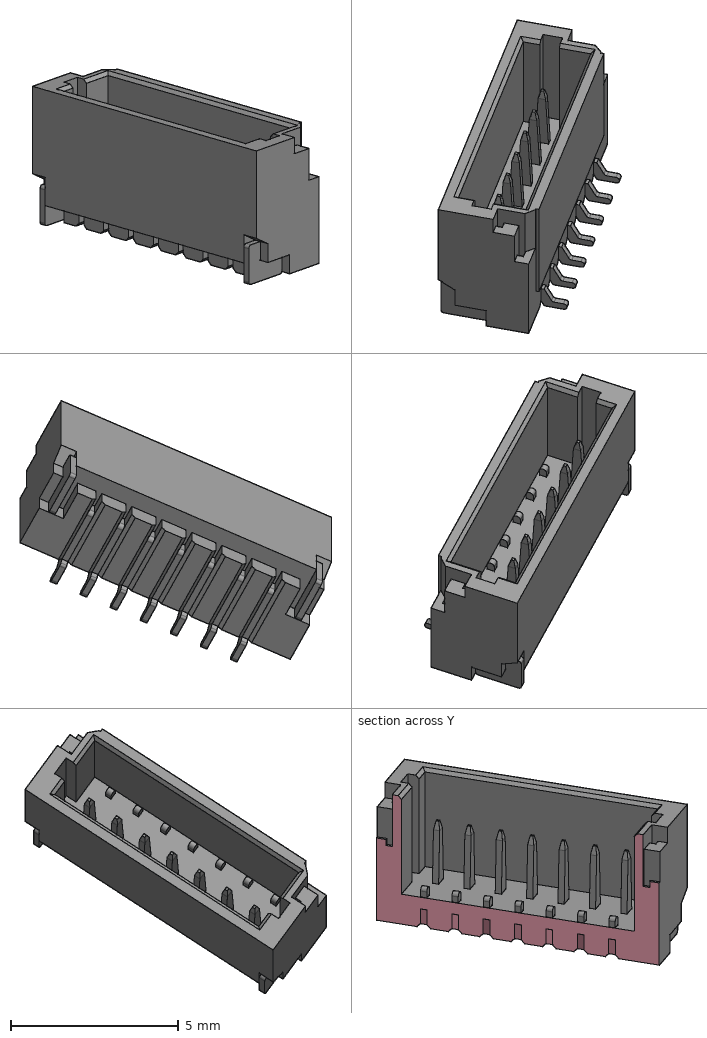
import cadquery as cq

LENGTH = 9.0
DEPTH = 2.8
TOP_Z = 4.3
BOTTOM_Z = 0.05
HALF_LENGTH = LENGTH / 2

PANEL_HALF_LENGTH = 3.7
PANEL_THICKNESS = 0.1
PANEL_BOTTOM_Z = 1.06

CAVITY_HALF_LENGTH = 3.7
CAVITY_FRONT_Y = 0.405
CAVITY_BACK_Y = 2.49
CAVITY_FLOOR_Z = PANEL_BOTTOM_Z
RIM_CHAMFER = 0.11
KEYWAY_HALF_LENGTH = 4.06
KEYWAY_FRONT_Y = 0.92
KEYWAY_BACK_Y = 1.52

SHEET = 0.2

CORNER_WIDTH = 0.5
CORNER_INNER_X = HALF_LENGTH - CORNER_WIDTH
CORNER_FRONT_Y = 1.7
CORNER_STEP_Y = 2.36
CORNER_UPPER_Z = 3.79
CORNER_LOWER_Z = 2.79
CORNER_CHAMFER = 0.25
PIT_SIZE = SHEET

TAB_FOOT_DEPTH = 1.485
TAB_FOOT_Z = 0.66
TAB_LEG_DEPTH = 0.51
TAB_TOP_Z = 1.25
TAB_CORNER_RADIUS = 0.1
TAB_INNER_X = CORNER_INNER_X
NOTCH_FRONT_Z = 1.55

UNDERCUT_Z = TAB_FOOT_Z
UNDERCUT_DEPTH = TAB_LEG_DEPTH
UNDERCUT_HALF_LENGTH = PANEL_HALF_LENGTH

PIN_COUNT = 7
PIN_PITCH = 1.0
PIN_BASE_Z = 0.17
PIN_BASE_TOP_Z = UNDERCUT_Z
PIN_HEEL_RADIUS = 0.135
POST_FRONT_Y = 0.99
POST_DEPTH = 0.41
POST_MID_Y = POST_FRONT_Y + POST_DEPTH / 2
POST_TAPER_Z = 2.79
POST_TOP_Z = 3.06
POST_NECK_DEPTH = 0.23
POST_TIP = 0.09
NUB_MID_Y = 2.3
NUB_RADIUS = 0.12
NUB_STAND = 0.2
FOOT_END_Y = 3.6
FOOT_THICKNESS = 0.22
FOOT_BEND_Y = 3.15
FOOT_BEND_RADIUS = 0.1
FOOT_HEEL_Y = DEPTH
FOOT_HEEL_RADIUS = 0.1
FOOT_SHOULDER_Y = DEPTH + PANEL_THICKNESS

SLOT_FLARE = 0.12


def box(x0, x1, y0, y1, z0, z1):
    """Axis-aligned box between two opposite corners."""
    return cq.Workplane("XY").box(x1 - x0, y1 - y0, z1 - z0, centered=False).translate((x0, y0, z0))


def yz_plate(outline, x0, thickness):
    """Plate with a YZ outline, starting at x0 and extruded along +X by the given thickness."""
    return outline(cq.Workplane("YZ", origin=(x0, 0, 0))).close().extrude(thickness)


def both_ends(body):
    """The body followed by its mirror image at the opposite end of the part."""
    return [body, body.mirror("YZ")]


def pin_outline(plane):
    foot_radius = FOOT_THICKNESS / 2
    nub_spring_z = CAVITY_FLOOR_Z + NUB_STAND
    return (
        plane.moveTo(POST_FRONT_Y, CAVITY_FLOOR_Z)
        .lineTo(POST_FRONT_Y, PIN_BASE_Z)
        .lineTo(FOOT_HEEL_Y, PIN_BASE_Z)
        .lineTo(FOOT_SHOULDER_Y, 0)
        .lineTo(FOOT_END_Y - foot_radius, 0)
        .threePointArc((FOOT_END_Y, foot_radius), (FOOT_END_Y - foot_radius, FOOT_THICKNESS))
        .lineTo(FOOT_BEND_Y, FOOT_THICKNESS)
        .lineTo(FOOT_SHOULDER_Y, PIN_BASE_TOP_Z)
        .lineTo(NUB_MID_Y + NUB_RADIUS, PIN_BASE_TOP_Z)
        .lineTo(NUB_MID_Y + NUB_RADIUS, nub_spring_z)
        .threePointArc((NUB_MID_Y, nub_spring_z + NUB_RADIUS), (NUB_MID_Y - NUB_RADIUS, nub_spring_z))
        .lineTo(NUB_MID_Y - NUB_RADIUS, PIN_BASE_TOP_Z)
        .lineTo(POST_FRONT_Y + POST_DEPTH, PIN_BASE_TOP_Z)
        .lineTo(POST_FRONT_Y + POST_DEPTH, CAVITY_FLOOR_Z)
    )


def fillet_edge_at(body, y, z, radius):
    """Round the edge running along X through (y, z)."""
    reach = 0.01
    selector = cq.selectors.BoxSelector(
        (-LENGTH, y - reach, z - reach), (LENGTH, y + reach, z + reach)
    )
    return body.edges(selector).fillet(radius)


def post_taper(z0, width0, depth0, z1, width1, depth1):
    """Four-sided taper between two rectangles centred on the post."""
    return (
        cq.Workplane("XY", origin=(0, POST_MID_Y, z0))
        .rect(width0, depth0)
        .workplane(offset=z1 - z0)
        .rect(width1, depth1)
        .loft(ruled=True)
    )


def make_pin():
    """Contact pin centred on X = 0."""
    pin = yz_plate(pin_outline, -SHEET / 2, SHEET)
    pin = fillet_edge_at(pin, POST_FRONT_Y, PIN_BASE_Z, PIN_HEEL_RADIUS)
    pin = fillet_edge_at(pin, FOOT_SHOULDER_Y, 0, FOOT_HEEL_RADIUS)
    pin = fillet_edge_at(pin, FOOT_BEND_Y, FOOT_THICKNESS, FOOT_BEND_RADIUS)
    shoulder = post_taper(
        CAVITY_FLOOR_Z, SHEET, POST_DEPTH, POST_TAPER_Z, SHEET, POST_NECK_DEPTH
    )
    tip = post_taper(
        POST_TAPER_Z, SHEET, POST_NECK_DEPTH, POST_TOP_Z, POST_TIP, POST_TIP
    )
    return pin.union(shoulder).union(tip)


def tab_outline(plane):
    return (
        plane.moveTo(0, 0)
        .lineTo(TAB_FOOT_DEPTH, 0)
        .lineTo(TAB_FOOT_DEPTH, TAB_FOOT_Z)
        .lineTo(TAB_LEG_DEPTH, TAB_FOOT_Z)
        .lineTo(TAB_LEG_DEPTH, TAB_TOP_Z)
        .lineTo(0, TAB_TOP_Z)
    )


def make_tab():
    """L-shaped solder tab at the +X end."""
    tab = yz_plate(tab_outline, TAB_INNER_X, SHEET)
    for y, z in [(0, 0), (TAB_FOOT_DEPTH, 0), (0, TAB_TOP_Z)]:
        tab = fillet_edge_at(tab, y, z, TAB_CORNER_RADIUS)
    return tab


def cavity():
    """Mating cavity with a chamfered rim and a keyway in each end wall."""
    half, front, back = CAVITY_HALF_LENGTH, CAVITY_FRONT_Y, CAVITY_BACK_Y
    well = box(-half, half, front, back, CAVITY_FLOOR_Z, TOP_Z)
    rim = (
        cq.Workplane("XY", origin=(0, (front + back) / 2, TOP_Z - RIM_CHAMFER))
        .rect(2 * half, back - front)
        .workplane(offset=RIM_CHAMFER)
        .rect(2 * (half + RIM_CHAMFER), back - front + 2 * RIM_CHAMFER)
        .loft(ruled=True)
    )
    keyway = box(
        -KEYWAY_HALF_LENGTH, KEYWAY_HALF_LENGTH, KEYWAY_FRONT_Y, KEYWAY_BACK_Y, CAVITY_FLOOR_Z, TOP_Z
    )
    return well.union(rim).union(keyway)


def corner_recess():
    """Two-step recess at the +X back upper corner, with a square pit in each step."""
    inner = CORNER_INNER_X
    upper = box(inner, HALF_LENGTH, CORNER_FRONT_Y, CORNER_STEP_Y, CORNER_UPPER_Z, TOP_Z)
    lower = (
        cq.Workplane("XY", origin=(0, 0, CORNER_LOWER_Z))
        .moveTo(HALF_LENGTH, CORNER_STEP_Y)
        .lineTo(inner, CORNER_STEP_Y)
        .lineTo(inner, DEPTH - CORNER_CHAMFER)
        .lineTo(inner - CORNER_CHAMFER, DEPTH)
        .lineTo(HALF_LENGTH, DEPTH)
        .close()
        .extrude(TOP_Z - CORNER_LOWER_Z)
    )
    recess = upper.union(lower)
    for y, floor_z in [(CORNER_FRONT_Y, CORNER_UPPER_Z), (CORNER_STEP_Y, CORNER_LOWER_Z)]:
        pit = box(inner, inner + PIT_SIZE, y, y + PIT_SIZE, floor_z - PIT_SIZE, floor_z)
        recess = recess.union(pit)
    return recess


def tab_notch_outline(plane):
    return (
        plane.moveTo(0, BOTTOM_Z)
        .lineTo(TAB_LEG_DEPTH, BOTTOM_Z)
        .lineTo(TAB_LEG_DEPTH, TAB_TOP_Z)
        .lineTo(0, NOTCH_FRONT_Z)
    )


def tab_notch():
    """Notch for the solder tab at the +X end, with a sloping roof and a deep lower part."""
    leg_space = yz_plate(tab_notch_outline, TAB_INNER_X, CORNER_WIDTH)
    foot_space = box(UNDERCUT_HALF_LENGTH, HALF_LENGTH, 0, TAB_FOOT_DEPTH, BOTTOM_Z, TAB_FOOT_Z)
    return leg_space.union(foot_space)


def pin_slot(x):
    """Slot for one pin base, open below through a flared mouth and running the full depth."""
    half = SHEET / 2
    mouth_half = half + SLOT_FLARE
    return (
        cq.Workplane("XZ", origin=(x, 0, 0))
        .moveTo(-mouth_half, BOTTOM_Z)
        .lineTo(mouth_half, BOTTOM_Z)
        .lineTo(half, BOTTOM_Z + SLOT_FLARE)
        .lineTo(half, UNDERCUT_Z)
        .lineTo(-half, UNDERCUT_Z)
        .lineTo(-half, BOTTOM_Z + SLOT_FLARE)
        .close()
        .extrude(-DEPTH)
    )


def make_housing(pin_bodies, pin_places):
    body = box(-HALF_LENGTH, HALF_LENGTH, 0, DEPTH, BOTTOM_Z, TOP_Z)
    panel = box(
        -PANEL_HALF_LENGTH, PANEL_HALF_LENGTH, DEPTH, DEPTH + PANEL_THICKNESS, PANEL_BOTTOM_Z, TOP_Z
    )
    undercut = box(
        -UNDERCUT_HALF_LENGTH, UNDERCUT_HALF_LENGTH, 0, UNDERCUT_DEPTH, BOTTOM_Z, UNDERCUT_Z
    )
    body = body.union(panel).cut(cavity()).cut(undercut)
    for cutter in both_ends(corner_recess()) + both_ends(tab_notch()):
        body = body.cut(cutter)
    for x in pin_places:
        body = body.cut(pin_slot(x))
    for pin in pin_bodies:
        body = body.cut(pin)
    return body


pin_places = [(i - (PIN_COUNT - 1) / 2) * PIN_PITCH for i in range(PIN_COUNT)]
single_pin = make_pin()
pins = [single_pin.translate((x, 0, 0)) for x in pin_places]
tabs = both_ends(make_tab())
housing = make_housing(pins, pin_places)

result = cq.Compound.makeCompound([housing.val(), *[pin.val() for pin in pins], *[tab.val() for tab in tabs]])